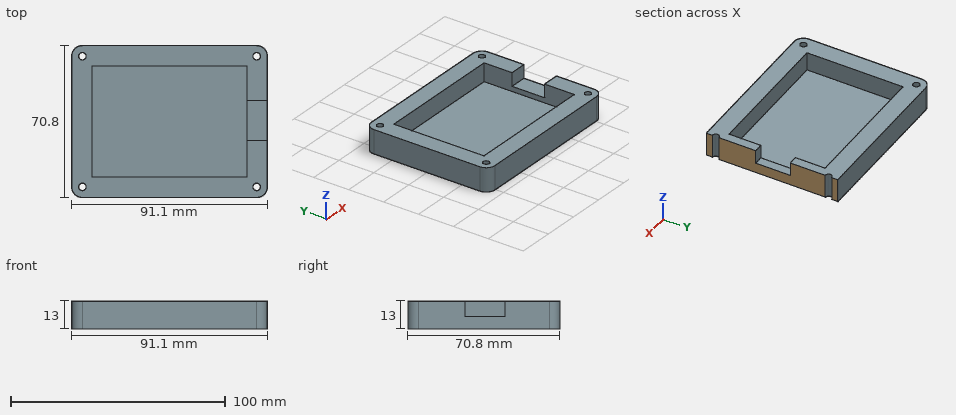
import cadquery as cq

length = 91.1
width = 70.8
height = 13.0
corner_radius = 5.0

rim = 9.6
pocket_length = length - 2 * rim
pocket_width = width - 2 * rim
pocket_depth = 10.0

notch_width = 18.6
notch_depth = 7.3
notch_center_y = 0.55

hole_diameter = 3.4
hole_spacing_x = length - 2 * corner_radius
hole_spacing_y = width - 2 * corner_radius


def make_block():
    block = cq.Workplane("XY").box(length, width, height, centered=(True, True, False))
    return block.edges("|Z").fillet(corner_radius)


def make_pocket():
    floor = cq.Workplane("XY").workplane(offset=height - pocket_depth)
    return floor.rect(pocket_length, pocket_width).extrude(pocket_depth)


def make_notch():
    floor = cq.Workplane("XY").workplane(offset=height - notch_depth)
    wall_center_x = (length - rim) / 2
    return floor.center(wall_center_x, notch_center_y).rect(rim, notch_width).extrude(notch_depth)


def make_screw_holes():
    corners = cq.Workplane("XY").rect(hole_spacing_x, hole_spacing_y, forConstruction=True).vertices()
    return corners.circle(hole_diameter / 2).extrude(height)


result = make_block().cut(make_pocket()).cut(make_notch()).cut(make_screw_holes())